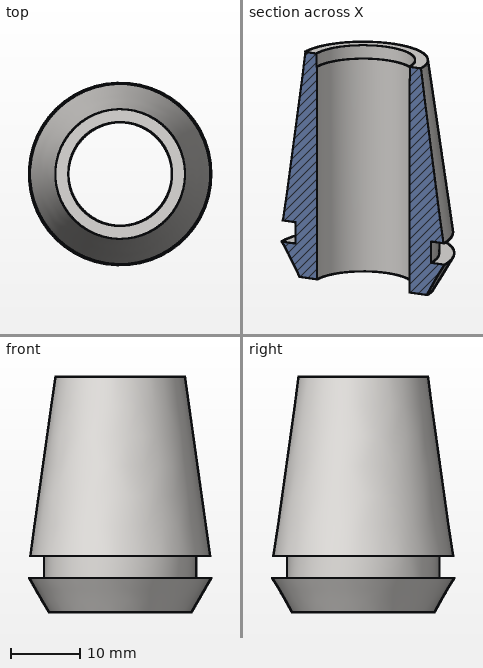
import cadquery as cq
import math

total_height = 34.0
flange_diameter = 26.3
flange_height = 5.0
flange_angle = 30.0
groove_diameter = 22.0
groove_width = 3.13
taper_angle = 8.0
taper_large_diameter = 25.98
bore_diameter = 14.9
relief_diameter = 15.0
relief_depth = 2.0

flange_radius = flange_diameter / 2
nose_radius = flange_radius - flange_height * math.tan(math.radians(flange_angle))
groove_radius = groove_diameter / 2
taper_base_z = flange_height + groove_width
taper_large_radius = taper_large_diameter / 2
taper_height = total_height - taper_base_z
taper_small_radius = taper_large_radius - taper_height * math.tan(math.radians(taper_angle))


def make_body():
    """Solid of revolution: nose cone, groove and clamping taper."""
    return (
        cq.Workplane("XZ")
        .moveTo(0, 0)
        .lineTo(nose_radius, 0)
        .lineTo(flange_radius, flange_height)
        .lineTo(groove_radius, flange_height)
        .lineTo(groove_radius, taper_base_z)
        .lineTo(taper_large_radius, taper_base_z)
        .lineTo(taper_small_radius, total_height)
        .lineTo(0, total_height)
        .close()
        .revolve(360, (0, 0, 0), (0, 1, 0))
    )


def cut_bore(body):
    """Through bore with a slightly wider relief at the top end."""
    return (
        body.faces(">Z").workplane()
        .hole(bore_diameter)
        .faces(">Z").workplane()
        .hole(relief_diameter, relief_depth)
    )


result = cut_bore(make_body())